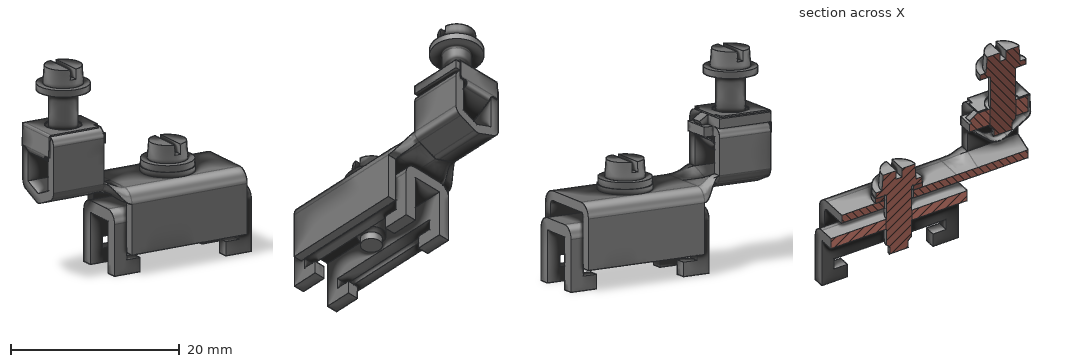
import cadquery as cq
import math


foot_length = 19.03
foot_width = 7.0
foot_height = 7.98
foot_wall = 1.5
leg_length = 1.7
hook_length = 3.55
hook_height = 1.79
window_height = 1.45

wire_screw_top = 26.2
wire_screw_y = -14.5
head_height = 2.2
head_top_diameter = 4.52
head_base_diameter = 4.85
slot_width = 0.78
slot_depth = 1.23
flange_diameter = 6.47
flange_height = 0.8
shank_diameter = 3.52
shank_length = 7.28
neck_radius = 0.22
tip_cone_length = 0.47
tip_diameter = 2.62
tip_length = 1.0
clearance_diameter = shank_diameter + 2 * neck_radius

washer_diameter = 6.67
washer_height = 0.67

sheet = 1.2
cover_length = 16.01
cover_width = 10.0
cover_bottom = 2.8
cover_top = 10.8
cover_bend = 1.7
cage_front = -18.0
cage_depth = 7.03
cage_width = 7.0
floor_valley = 10.77
floor_side = 11.72
lower_flap_bottom = 16.25
tab_width = 3.82
prong_width = 1.6
prong_end_top = 17.9
prong_end_setback = 0.35
neck_steps = 6

cover_front = -cover_length / 2
cage_rear = cage_front + cage_depth
cage_half = cage_width / 2
cage_inner_half = cage_half - sheet
lower_flap_top = lower_flap_bottom + sheet
cage_top = lower_flap_top + sheet

spring_thickness = 0.17
spring_width = 6.03
spring_tongue_width = 3.95
spring_notch_depth = 0.45
spring_hole_diameter = 4.4
spring_shoulder = 16.01
spring_shoulder_radius = 0.35
front_bend = 0.3
lower_bend = 0.9
valley_bend = 2.23
front_turn = 88
lower_turn = 62
valley_turn = 73
front_straight = 2.37
tongue_down_straight = 3.25
tongue_up_straight = 2.5


def block(x_range, y_range, z_range):
    """Box between two limits along each axis."""
    size = [high - low for low, high in (x_range, y_range, z_range)]
    return cq.Workplane("XY").box(*size, centered=False).translate((x_range[0], y_range[0], z_range[0]))


def upright_cylinder(diameter, y, z_range):
    """Solid cylinder along Z, standing at X = 0 and the given Y."""
    bottom, top = z_range
    return cq.Workplane("XY", origin=(0, y, bottom)).circle(diameter / 2).extrude(top - bottom)


def extrude_y(outline, y_front, y_rear):
    """Extrude an XZ outline from y_front to y_rear."""
    return outline.extrude(y_front - y_rear).translate((0, y_front, 0))


def make_foot():
    half_length = foot_length / 2
    half_width = foot_width / 2
    inner_half = half_width - foot_wall
    foot = block((-half_width, half_width), (-half_length, half_length), (0, foot_height))
    foot = foot.edges("|Y and >Z").fillet(foot_wall)
    channel = block((-inner_half, inner_half), (-half_length, half_length), (0, foot_height - foot_wall))

    window_half = half_length - leg_length
    gap_half = half_length - hook_length
    window_top = hook_height + window_height
    window = block((-half_width, half_width), (-window_half, window_half), (hook_height, window_top))
    gap = block((-half_width, half_width), (-gap_half, gap_half), (0, hook_height))
    threaded_hole = upright_cylinder(shank_diameter, 0, (0, foot_height))
    return foot.cut(channel).cut(window).cut(gap).cut(threaded_hole)


def make_screw(y, top):
    """Slotted flange screw with its axis at the given Y and its head ending at the given height."""
    flange_top = top - head_height
    flange_bottom = flange_top - flange_height
    shank_bottom = flange_bottom - shank_length
    cone_bottom = shank_bottom - tip_cone_length
    shank_radius = shank_diameter / 2
    screw = (
        cq.Workplane("XZ")
        .moveTo(0, top)
        .lineTo(head_top_diameter / 2, top)
        .lineTo(head_base_diameter / 2, flange_top)
        .lineTo(flange_diameter / 2, flange_top)
        .lineTo(flange_diameter / 2, flange_bottom)
        .lineTo(shank_radius + neck_radius, flange_bottom)
        .radiusArc((shank_radius, flange_bottom - neck_radius), -neck_radius)
        .lineTo(shank_radius, shank_bottom)
        .lineTo(tip_diameter / 2, cone_bottom)
        .lineTo(tip_diameter / 2, cone_bottom - tip_length)
        .lineTo(0, cone_bottom - tip_length)
        .close()
        .revolve(360, (0, 0), (0, 1))
    )
    slot = block(
        (-head_base_diameter, head_base_diameter),
        (-slot_width / 2, slot_width / 2),
        (top - slot_depth, top),
    )
    return screw.cut(slot).translate((0, y, 0))


def make_washer():
    z_range = (cover_top, cover_top + washer_height)
    hole = upright_cylinder(clearance_diameter, 0, z_range)
    return upright_cylinder(washer_diameter, 0, z_range).cut(hole)


def make_cover():
    """Channel, open downward, that straddles the clamp foot."""
    half_width = cover_width / 2
    inner_half = half_width - sheet
    y_range = (cover_front, -cover_front)
    cover = block((-half_width, half_width), y_range, (cover_bottom, cover_top))
    cover = cover.edges("|Y and >Z").fillet(cover_bend)
    channel = block((-inner_half, inner_half), y_range, (cover_bottom, cover_top - sheet))
    channel = channel.edges("|Y and >Z").fillet(cover_bend - sheet)
    hole = upright_cylinder(clearance_diameter, 0, (cover_bottom, cover_top))
    return cover.cut(channel).cut(hole)


def make_cage():
    """Sheet wrapped around the wire space, with its two ends overlapping at the top."""
    opening = [
        (-cage_inner_half, lower_flap_bottom),
        (cage_inner_half, lower_flap_bottom),
        (cage_inner_half, floor_side),
        (0, floor_valley),
        (-cage_inner_half, floor_side),
    ]
    inner = extrude_y(cq.Workplane("XZ").polyline(opening).close(), cage_front, cage_rear)
    wrap = extrude_y(cq.Workplane("XZ").polyline(opening).close().offset2D(sheet), cage_front, cage_rear)

    upper_flap_outline = (
        cq.Workplane("XZ")
        .moveTo(-cage_half, lower_flap_top)
        .lineTo(-cage_half, cage_top)
        .lineTo(cage_inner_half, cage_top)
        .radiusArc((cage_half, lower_flap_top), sheet)
        .lineTo(cage_half, lower_flap_bottom)
        .lineTo(cage_inner_half, lower_flap_bottom)
        .lineTo(cage_inner_half, lower_flap_top)
        .close()
    )
    upper_flap = extrude_y(upper_flap_outline, cage_front, cage_rear)

    tab_end = cage_rear + sheet
    tab = block(
        (-tab_width / 2, tab_width / 2), (cage_rear, tab_end), (lower_flap_bottom, lower_flap_top)
    )
    prong_outline = [
        (cage_rear, lower_flap_top),
        (cage_rear, cage_top),
        (tab_end, prong_end_top),
        (tab_end - prong_end_setback, lower_flap_top),
    ]
    prong = cq.Workplane("YZ").polyline(prong_outline).close().extrude(prong_width / 2, both=True)
    threaded_hole = upright_cylinder(shank_diameter, wire_screw_y, (lower_flap_bottom, cage_top))
    return wrap.cut(inner).union(upper_flap).union(tab).union(prong).cut(threaded_hole)


def straight(start, end):
    """Control points of a straight cubic curve."""
    return [tuple(a + (b - a) * share for a, b in zip(start, end)) for share in (0, 1 / 3, 2 / 3, 1)]


def bend(start, corner, end, turn):
    """Control points of a cubic curve that follows a round bend of the given angle."""
    pull = 4 / 3 * math.tan(turn / 4) / math.tan(turn / 2)
    toward_corner = [tuple(p + (c - p) * pull for p, c in zip(point, corner)) for point in (start, end)]
    return [start, toward_corner[0], toward_corner[1], end]


def make_neck():
    """Sheet whose section eases from the downward bends of the cover to the V-shaped cage floor."""
    half = cover_width / 2
    flat_half = half - cover_bend
    bend_end = cover_top - cover_bend
    under = cover_top - sheet
    quarter = math.pi / 2
    cover_side = [
        straight((0, cover_top), (flat_half, cover_top)),
        bend((flat_half, cover_top), (half, cover_top), (half, bend_end), quarter),
        straight((half, bend_end), (half - sheet, bend_end)),
        bend((half - sheet, bend_end), (half - sheet, under), (flat_half, under), quarter),
        straight((flat_half, under), (0, under)),
    ]

    floor_angle = math.atan2(floor_side - floor_valley, cage_inner_half)
    turn = quarter - floor_angle
    floor_start = (
        cage_inner_half + sheet * math.sin(floor_angle),
        floor_side - sheet * math.cos(floor_angle),
    )
    corner = (cage_half, floor_side - sheet * math.tan(turn / 2))
    floor_middle = (0, floor_valley - sheet)
    joint_share = flat_half / (half - sheet)
    joint = (
        floor_start[0] * joint_share,
        floor_middle[1] + (floor_start[1] - floor_middle[1]) * joint_share,
    )
    cage_side = [
        straight((0, floor_valley), (cage_inner_half, floor_side)),
        straight((cage_inner_half, floor_side), (cage_half, floor_side)),
        bend((cage_half, floor_side), corner, floor_start, turn),
        straight(floor_start, joint),
        straight(joint, floor_middle),
    ]

    sections = []
    for step in range(neck_steps + 1):
        share = step / neck_steps
        eased = share ** 2 * (3 - 2 * share)
        y = cover_front + (cage_rear - cover_front) * share
        right_side = [
            [cq.Vector(a[0] + (b[0] - a[0]) * eased, y, a[1] + (b[1] - a[1]) * eased) for a, b in zip(*pair)]
            for pair in zip(cover_side, cage_side)
        ]
        left_side = [
            [cq.Vector(-point.x, y, point.z) for point in reversed(curve)] for curve in reversed(right_side)
        ]
        edges = [cq.Edge.makeBezier(curve) for curve in right_side + left_side]
        sections.append(cq.Wire.assembleEdges(edges))
    return cq.Workplane(cq.Solid.makeLoft(sections))


def make_bracket():
    return make_cover().union(make_neck(), tol=0.01).union(make_cage(), tol=0.01)


def follow(outline, path):
    """Continue an outline through straights, given as (end,), and arcs, given as (middle, end)."""
    for points in path:
        outline = outline.threePointArc(*points) if len(points) == 2 else outline.lineTo(*points[0])
    return outline


def spring_face(offset):
    """Start point and path of the spring face that lies the given distance inside its outer face."""
    folds = [
        (cage_depth, front_bend, front_turn),
        (front_straight, lower_bend, lower_turn),
        (tongue_down_straight, valley_bend, valley_turn),
    ]
    heading = math.pi
    start = (cage_rear, cage_top + spring_thickness - offset)
    y, z = start
    path = []
    for length, outer_radius, turn in folds:
        y += length * math.cos(heading)
        z += length * math.sin(heading)
        path.append([(y, z)])
        radius = outer_radius - offset
        center_y = y - radius * math.sin(heading)
        center_z = z + radius * math.cos(heading)
        arc = []
        for share in (0.5, 1):
            angle = heading - math.pi / 2 + math.radians(turn) * share
            arc.append((center_y + radius * math.cos(angle), center_z + radius * math.sin(angle)))
        path.append(arc)
        y, z = arc[-1]
        heading += math.radians(turn)
    y += tongue_up_straight * math.cos(heading)
    z += tongue_up_straight * math.sin(heading)
    path.append([(y, z)])
    return start, path


def backward(start, path):
    """The same path followed from its end to its start."""
    ends = [start] + [points[-1] for points in path]
    return [points[-2::-1] + [end] for points, end in zip(reversed(path), reversed(ends[:-1]))]


def make_spring():
    outer_start, outer_path = spring_face(0)
    inner_start, inner_path = spring_face(spring_thickness)
    outline = follow(cq.Workplane("YZ").moveTo(*outer_start), outer_path)
    outline = outline.lineTo(*inner_path[-1][-1])
    outline = follow(outline, backward(inner_start, inner_path)).close()
    spring = outline.extrude(spring_width / 2, both=True)

    spring_top = cage_top + spring_thickness
    tongue_half = spring_tongue_width / 2
    spring_front = cage_front - lower_bend
    beside_tongue = block((tongue_half, spring_width), (spring_front, cage_rear + sheet), (0, spring_shoulder))
    beside_tongue = beside_tongue.edges("|Y and <X and >Z").fillet(spring_shoulder_radius)
    rear_notch = block(
        (tongue_half, spring_width), (cage_rear - spring_notch_depth, cage_rear), (cage_top, spring_top)
    )
    for cutter in (beside_tongue, rear_notch):
        spring = spring.cut(cutter).cut(cutter.mirror("YZ"))
    return spring.cut(upright_cylinder(spring_hole_diameter, wire_screw_y, (cage_top, spring_top)))


clamp_screw_top = cover_top + washer_height + flange_height + head_height

foot = make_foot()
bracket = make_bracket()
washer = make_washer()
spring = make_spring()
screws = [make_screw(y, top) for y, top in ((0, clamp_screw_top), (wire_screw_y, wire_screw_top))]

result = cq.Compound.makeCompound(
    [foot.val(), bracket.val(), washer.val(), spring.val(), *[screw.val() for screw in screws]]
)